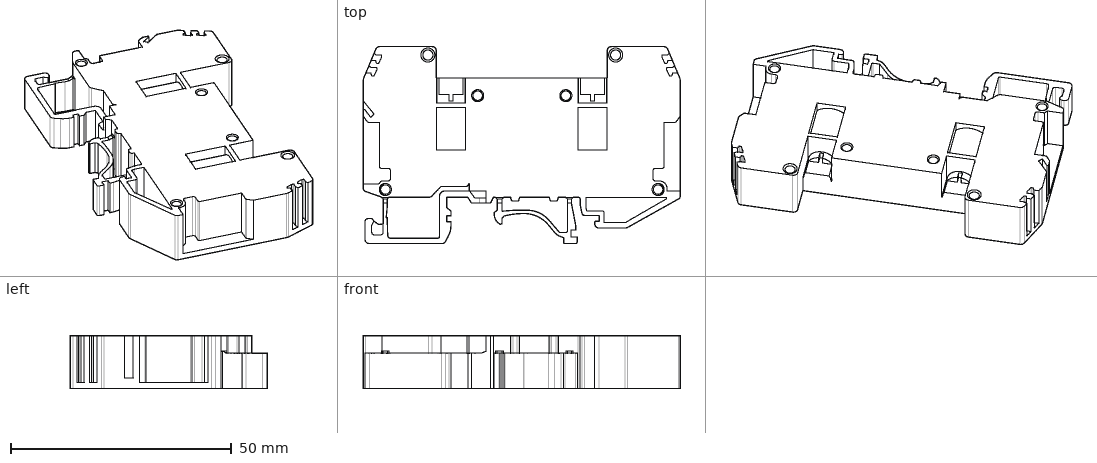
import cadquery as cq
import math

LENGTH = 71.9
DEPTH = 44.7
HEIGHT = 12.0
MID_X = LENGTH / 2

FOOT_TOP = 8.05
FLOOR = 1.45
BASE_Y = 10.5
BODY_Y = 37.6
RAIL_CLIP_X = 27.8
CLIP_Y = 9.2
ARM_END_Y = 10.35
ARM_Y = 12.0

RECESS_X = 19.9
RECESS_WIDTH = 6.6
RECESS_Y = 31.9
HEAD_END_Y = 33.9
HEAD_RADIUS = 3.15
SHELF_WIDTH = 5.5
SHELF_Z = HEIGHT / 2
SCREW_AXIS_Z = SHELF_Z - math.sqrt(HEAD_RADIUS**2 - (SHELF_WIDTH / 2) ** 2)
SLOT_WIDTH = 0.85
SLOT_DEPTH = 1.5
WINDOW_Y = 21.2
WINDOW_LENGTH = 9.6
CLAMP_TOP = 10.85
CLAMP_AXIS_Z = HEIGHT / 2
CLAMP_RADIUS = CLAMP_TOP - CLAMP_AXIS_Z

TOWER_INNER_X = RECESS_X - RECESS_WIDTH / 2
TOWER_TOP_X = 3.1
TOWER_ROUND = 1.0
SHOULDER_Y = 37.3
SHOULDER_ROUND = 1.45

COUNTERSINK = 0.3
PIN_RADIUS = 1.1
PIN_RIM_RADIUS = 1.4
PIN_POINTS = [(25.95, 33.6), (5.0, 12.3)]
DISH_RADIUS = 1.15
DISH_RIM_RADIUS = 1.6
DISH_POINT = (14.7, 42.8)

NOTCH_STEP = (-1.1, -2.9)
SIDE_SLOT_FLOOR = 2.4

HOOK_RIB = (4.5, 5.5)
SPRING_RIBS = ((30.35, 31.5), (46.3, 47.25))

GUSSET_HEIGHT = 0.4
CLIP_GUSSET_LENGTH = 1.5
ROOT_FLARE = 0.35

BUMP_CENTRES = (34.45, 43.2)
BUMP_BASE = 2.1
BUMP_TIP = 1.6
BUMP_Y = 9.6
BUMP_ROUND = 0.4


def rounded_prism(corners, bottom, top):
    """Extrude a closed outline of (x, y) or (x, y, corner radius) points."""
    path = []
    for i, corner in enumerate(corners):
        x, y = corner[:2]
        if len(corner) == 2:
            path.append([(x, y)])
            continue
        radius = corner[2]
        before = cq.Vector(*corners[i - 1][:2])
        after = cq.Vector(*corners[(i + 1) % len(corners)][:2])
        here = cq.Vector(x, y)
        to_before = (before - here).normalized()
        to_after = (after - here).normalized()
        half_angle = to_before.getAngle(to_after) / 2
        tangent_length = radius / math.tan(half_angle)
        bisector = (to_before + to_after).normalized()
        middle = here + bisector * (radius / math.sin(half_angle) - radius)
        start = here + to_before * tangent_length
        end = here + to_after * tangent_length
        path.append([(p.x, p.y) for p in (start, middle, end)])

    outline = cq.Workplane("XY").workplane(offset=bottom).moveTo(*path[0][-1])
    for stretch in path[1:] + path[:1]:
        if stretch is not path[0] or len(stretch) == 3:
            outline = outline.lineTo(*stretch[0])
        if len(stretch) == 3:
            outline = outline.threePointArc(*stretch[1:])
    return outline.close().extrude(top - bottom)


def mirrored(shape):
    """Copy of a shape on the other side of the housing's middle plane."""
    return shape.mirror("YZ", (MID_X, 0, 0))


def box(x_min, x_max, y_min, y_max, z_min, z_max):
    size = (x_max - x_min, y_max - y_min, z_max - z_min)
    return cq.Workplane("XY").box(*size, centered=False).translate((x_min, y_min, z_min))


def cylinder_along_y(x, z, radius, y_min, y_max):
    circle = cq.Workplane("XZ", origin=(x, y_min, z)).circle(radius)
    return circle.extrude(y_min - y_max)


def housing():
    """Full-height body with two towers, lower edge and the right rail hook."""
    outline = [
        (0, SHOULDER_Y, SHOULDER_ROUND),
        (TOWER_TOP_X, DEPTH, TOWER_ROUND),
        (TOWER_INNER_X, DEPTH, TOWER_ROUND),
        (TOWER_INNER_X, BODY_Y),
        (LENGTH - TOWER_INNER_X, BODY_Y),
        (LENGTH - TOWER_INNER_X, DEPTH, TOWER_ROUND),
        (LENGTH - TOWER_TOP_X, DEPTH, TOWER_ROUND),
        (LENGTH, SHOULDER_Y, SHOULDER_ROUND),
        (LENGTH, 10.35, 0.7),
        (59.7, 3.5, 1.3),
        (52.5, 3.5, 1.0),
        (52.5, 5.1, 0.2),
        (53.5, 5.1),
        (53.5, 6.4),
        (49.7, 6.4, 0.65),
        (49.2, 8.8),
        (49.2, BASE_Y, 0.4),
        (29.55, BASE_Y),
        (28.9, CLIP_Y),
        (RAIL_CLIP_X, CLIP_Y),
        (RAIL_CLIP_X, ARM_Y),
        (24.0, ARM_Y),
        (24.0, 13.6),
        (23.5, 12.95),
        (17.6, 12.95),
        (15.3, BASE_Y, 1.15),
        (4.3, BASE_Y),
        (0, 12.0, 0.85),
    ]
    body = rounded_prism(outline, 0, HEIGHT)
    for x in BUMP_CENTRES:
        bump = [
            (x - BUMP_BASE / 2, BASE_Y),
            (x - BUMP_TIP / 2, BUMP_Y, BUMP_ROUND),
            (x + BUMP_TIP / 2, BUMP_Y, BUMP_ROUND),
            (x + BUMP_BASE / 2, BASE_Y),
        ]
        body = body.union(rounded_prism(bump, 0, HEIGHT))
    return body


def hook_pocket():
    """Pocket inside the right rail hook."""
    outline = [
        (50.5, BASE_Y),
        (50.5, 8.3),
        (50.7, 7.5),
        (54.65, 7.5, 0.6),
        (54.65, 4.8),
        (59.45, 4.8),
        (68.8, 10.2, 0.15),
        (68.8, BASE_Y),
    ]
    return rounded_prism(outline, FLOOR, HEIGHT)


def side_pockets():
    """Open pockets in both outer sides, differing only around the lower pin holes."""
    upper = [
        (0, 29.0),
        (1.0, 27.55, 0.4),
        (3.75, 27.55),
        (3.75, 17.1, 0.3),
        (6.2, 17.1, 0.6),
        (6.2, 14.25, 0.6),
    ]
    left = upper + [(4.1, 14.25), (3.5, 13.5), (0, 13.5)]
    right = upper + [(3.0, 14.25, 1.7), (3.0, 12.0), (0, 12.0)]
    left_pocket = rounded_prism(left, FLOOR, HEIGHT)
    return left_pocket.union(mirrored(rounded_prism(right, FLOOR, HEIGHT)))


def label_notches():
    """Two hooked notches in the slanted edge of each tower."""
    outline = [
        (2.2, 43.2),
        (3.0, 42.8),
        (4.2, 42.8, 0.15),
        (4.2, 42.3),
        (3.5, 40.9, 0.15),
        (3.0, 40.9, 0.15),
        (2.8, 41.55),
        (1.6, 41.55),
    ]
    first = rounded_prism(outline, FLOOR, HEIGHT)
    notches = first.union(first.translate((*NOTCH_STEP, 0)))
    return notches.union(mirrored(notches))


def side_slot():
    """Slanted slot in the left side."""
    outline = [(0, 32.4), (2.45, 29.4), (1.7, 28.6), (0.35, 30.4), (0, 30.4)]
    return rounded_prism(outline, SIDE_SLOT_FLOOR, HEIGHT)


def round_hole(point, radius, rim_radius, bottom):
    """Countersunk blind hole; a hole as deep as its countersink is a plain dish."""
    rim = cq.Workplane("XY", origin=(*point, HEIGHT)).circle(rim_radius)
    hole = rim.workplane(offset=-COUNTERSINK).circle(radius).loft(ruled=True)
    depth = HEIGHT - bottom
    if depth > COUNTERSINK:
        hole = hole.union(cq.Workplane("XY", origin=(*point, bottom)).circle(radius).extrude(depth))
    return hole


def round_holes():
    holes = round_hole(DISH_POINT, DISH_RADIUS, DISH_RIM_RADIUS, HEIGHT - COUNTERSINK)
    for point in PIN_POINTS:
        holes = holes.union(round_hole(point, PIN_RADIUS, PIN_RIM_RADIUS, FLOOR))
    return holes.union(mirrored(holes))


def clamp_window():
    """Window whose floor is the rounded top of the clamp body."""
    left = RECESS_X - RECESS_WIDTH / 2
    right = RECESS_X + RECESS_WIDTH / 2
    end = WINDOW_Y + WINDOW_LENGTH
    window = box(left, right, WINDOW_Y, end, CLAMP_AXIS_Z, HEIGHT)
    return window.cut(cylinder_along_y(RECESS_X, CLAMP_AXIS_Z, CLAMP_RADIUS, WINDOW_Y, end))


def screw_recess():
    """Recess open at the upper edge, around a slotted screw head and a flat shelf."""
    left = RECESS_X - RECESS_WIDTH / 2
    right = RECESS_X + RECESS_WIDTH / 2
    recess = box(left, right, RECESS_Y, BODY_Y, SCREW_AXIS_Z, HEIGHT)
    screw = cylinder_along_y(RECESS_X, SCREW_AXIS_Z, HEAD_RADIUS, RECESS_Y, BODY_Y)
    above_shelf = box(left, right, HEAD_END_Y, BODY_Y, SHELF_Z, HEIGHT)
    slot = box(
        RECESS_X - SLOT_WIDTH / 2,
        RECESS_X + SLOT_WIDTH / 2,
        HEAD_END_Y - SLOT_DEPTH,
        HEAD_END_Y,
        SHELF_Z,
        HEIGHT,
    )
    return recess.cut(screw.cut(above_shelf).cut(slot))


def rail_foot():
    """Left foot: hook, thin rib, tall leg and the clip arm joining the housing."""
    outline = [
        (0.35, 0, 1.1),
        (18.4, 0, 1.0),
        (19.9, 2.9, 4.3),
        (19.9, 5.0),
        (19.0, 5.0),
        (19.0, 6.3),
        (19.9, 6.3),
        (19.9, 7.4),
        (19.0, 8.2),
        (19.0, BASE_Y),
        (23.7, BASE_Y),
        (24.5, CLIP_Y),
        (RAIL_CLIP_X, CLIP_Y),
        (RAIL_CLIP_X, ARM_END_Y),
        (25.3, ARM_END_Y),
        (24.1, ARM_Y),
        (17.25, ARM_Y, 1.4),
        (17.25, 1.3, 0.3),
        (5.6, 1.3, 0.6),
        (5.5, 5.9),
        (5.25, 5.9),
        (HOOK_RIB[1], 8.2),
        (HOOK_RIB[1], BASE_Y),
        (HOOK_RIB[0], BASE_Y),
        (HOOK_RIB[0], 2.0, 0.6),
        (1.95, 2.0, 0.6),
        (1.95, 4.2),
        (2.45, 5.2),
        (1.95, 5.75, 0.2),
        (0.35, 5.75, 0.85),
    ]
    foot = rounded_prism(outline, 0, FOOT_TOP)
    hook_web = [(1.9, 5.55), (3.5, 4.4), (4.6, 4.5), (4.6, 1.3), (1.9, 1.3)]
    arm_web = [(24.0, ARM_Y), (25.3, ARM_END_Y), (RAIL_CLIP_X, ARM_END_Y), (RAIL_CLIP_X, ARM_Y)]
    return foot.union(rounded_prism(hook_web, 0, FLOOR)).union(rounded_prism(arm_web, 0, FLOOR))


def spring():
    """Curved spring hanging from two ribs below the housing."""
    (left_outer, left_inner), (right_inner, right_outer) = SPRING_RIBS
    outline = [
        (left_outer, BASE_Y),
        (left_outer, 7.55),
        (29.7, 7.1),
        (29.7, 5.3, 2.6),
        (31.05, 4.4),
        (left_inner, 4.5),
        (left_inner, 5.75),
        (31.9, 6.25),
        (34.2, 6.8, 17.25),
        (39.9, 6.8, 7.2),
        (43.9, 1.9, 3.2),
        (45.45, 1.4),
        (45.45, 0, 0.3),
        (48.5, 0, 0.4),
        (48.5, 1.6),
        (47.2, 1.6),
        (47.2, 3.1),
        (48.25, 3.1),
        (48.25, 3.95),
        (right_outer, CLIP_Y),
        (right_outer, BASE_Y),
        (right_inner, BASE_Y),
        (right_inner, 2.6, 0.3),
        (44.5, 2.6),
        (40.2, 7.6, 6.5),
        (34.2, 7.6),
        (left_inner, 7.4),
        (left_inner, BASE_Y),
    ]
    return rounded_prism(outline, 0, FOOT_TOP)


def rib_root(x_min, x_max):
    """Flared root where a rib meets the housing wall, with a ramp down to the rib."""
    flare_y = BASE_Y - ROOT_FLARE
    outline = [
        (x_min - ROOT_FLARE, BASE_Y),
        (x_min, flare_y),
        (x_max, flare_y),
        (x_max + ROOT_FLARE, BASE_Y),
    ]
    root = rounded_prism(outline, 0, FOOT_TOP + GUSSET_HEIGHT)
    profile = [(flare_y, FOOT_TOP), (CLIP_Y, FOOT_TOP), (flare_y, FOOT_TOP + GUSSET_HEIGHT)]
    ramp = cq.Workplane("YZ", origin=(x_min, 0, 0)).polyline(profile).close()
    return root.union(ramp.extrude(x_max - x_min))


def clip_gusset():
    """Hollow-curved ramp at the end of the clip arm, level with the arm where it starts."""
    start_x = RAIL_CLIP_X - CLIP_GUSSET_LENGTH
    radius = (CLIP_GUSSET_LENGTH**2 + GUSSET_HEIGHT**2) / (2 * GUSSET_HEIGHT)
    half_length = CLIP_GUSSET_LENGTH / 2
    middle_rise = radius - math.sqrt(radius**2 - half_length**2)
    ramp = (
        cq.Workplane("XZ", origin=(0, CLIP_Y, 0))
        .moveTo(start_x, FOOT_TOP)
        .threePointArc(
            (start_x + half_length, FOOT_TOP + middle_rise),
            (RAIL_CLIP_X, FOOT_TOP + GUSSET_HEIGHT),
        )
        .lineTo(RAIL_CLIP_X, FOOT_TOP)
        .close()
    )
    return ramp.extrude(CLIP_Y - ARM_END_Y)


result = housing()
for opening in (clamp_window(), screw_recess()):
    result = result.cut(opening).cut(mirrored(opening))
for opening in (hook_pocket(), side_pockets(), label_notches(), side_slot(), round_holes()):
    result = result.cut(opening)
result = result.union(rail_foot()).union(spring()).union(clip_gusset())
for rib in (HOOK_RIB, *SPRING_RIBS):
    result = result.union(rib_root(*rib))